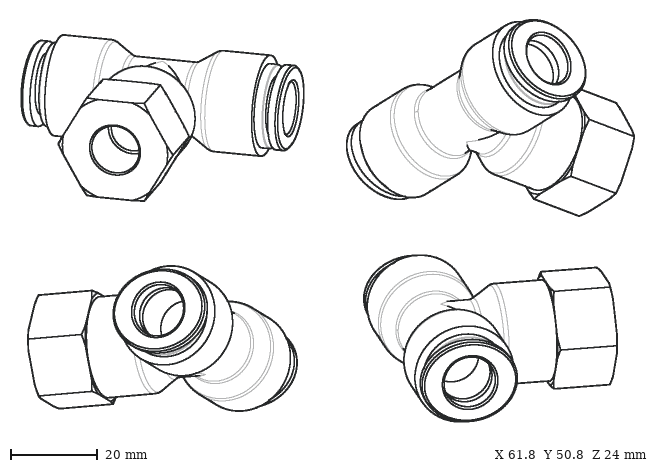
import cadquery as cq
import math

RUN_HALF_LENGTH = 30.9
ARM_LENGTH = 24.9

BARREL_DIAMETER = 23.5
NECK_DIAMETER = 16.95
BARREL_START = 13.0
NECK_END = 7.85
CONE_ROUNDING = 2.0

TUBE_BORE_DIAMETER = 12.2
TEE_BRANCH_BORE_DIAMETER = 10.0
SOCKET_DEPTH = ARM_LENGTH - BARREL_START

RING_DIAMETER = 19.6
RING_WIDTH = 2.05
RING_ROUNDING = 0.2

FLANGE_WIDTH = 22.6
FLANGE_HEIGHT = 19.45
FLANGE_THICKNESS = 2.3
FLANGE_CHAMFER = 0.5
COLLET_NECK_DIAMETER = 14.2
COLLET_MOUTH_CHAMFER = 0.5
COLLET_LENGTH = RUN_HALF_LENGTH - ARM_LENGTH - RING_WIDTH

NUT_ACROSS_FLATS = 24.0
NUT_ACROSS_CORNERS = NUT_ACROSS_FLATS / math.cos(math.pi / 6)
NUT_LENGTH = 14.1
NUT_FACE_DIAMETER = 25.35
NUT_CHAMFER_ANGLE = math.radians(20)
NUT_BORE_DIAMETER = 11.45
NUT_MOUTH_DIAMETER = 12.25

RUN_ANGLES = (0, 180)
BRANCH_ANGLE = 270


def rod(diameter, start, length):
    """Cylinder along +X from the given distance to the centre."""
    return cq.Workplane("YZ").workplane(offset=start).circle(diameter / 2).extrude(length)


def turned(shape, angle):
    """Shape built along +X, swung about Z to the direction of its arm."""
    return shape.rotate((0, 0, 0), (0, 0, 1), angle)


def make_arm():
    """Solid tee arm along +X, starting at the tee centre."""
    arm = (
        cq.Workplane("XY")
        .moveTo(0, 0)
        .lineTo(0, NECK_DIAMETER / 2)
        .lineTo(NECK_END, NECK_DIAMETER / 2)
        .lineTo(BARREL_START, BARREL_DIAMETER / 2)
        .lineTo(ARM_LENGTH, BARREL_DIAMETER / 2)
        .lineTo(ARM_LENGTH, 0)
        .close()
        .revolve(360, (0, 0, 0), (1, 0, 0))
    )
    cone_ends = cq.selectors.BoxSelector(
        (NECK_END / 2, -BARREL_DIAMETER, -BARREL_DIAMETER),
        ((BARREL_START + ARM_LENGTH) / 2, BARREL_DIAMETER, BARREL_DIAMETER),
    )
    return arm.edges("%CIRCLE").edges(cone_ends).fillet(CONE_ROUNDING)


def make_tee():
    """Three equal arms joined at the centre, with a blind socket in each."""
    tee = turned(make_arm(), BRANCH_ANGLE)
    for angle in RUN_ANGLES:
        tee = tee.union(turned(make_arm(), angle))

    socket_start = ARM_LENGTH - SOCKET_DEPTH
    tube_socket = rod(TUBE_BORE_DIAMETER, socket_start, SOCKET_DEPTH)
    for angle in RUN_ANGLES:
        tee = tee.cut(turned(tube_socket, angle))
    branch_socket = rod(TEE_BRANCH_BORE_DIAMETER, socket_start, SOCKET_DEPTH)
    return tee.cut(turned(branch_socket, BRANCH_ANGLE))


def make_retaining_ring():
    """Ring along +X, seated on the end face of a run arm."""
    ring = rod(RING_DIAMETER, ARM_LENGTH, RING_WIDTH)
    ring = ring.faces(">X").edges().fillet(RING_ROUNDING)
    return ring.cut(rod(TUBE_BORE_DIAMETER, ARM_LENGTH, RING_WIDTH))


def make_collet():
    """Oval flange and round neck along +X, bored for the tube."""
    collet_start = ARM_LENGTH + RING_WIDTH
    flange = (
        cq.Workplane("YZ")
        .workplane(offset=RUN_HALF_LENGTH - FLANGE_THICKNESS)
        .ellipse(FLANGE_WIDTH / 2, FLANGE_HEIGHT / 2)
        .extrude(FLANGE_THICKNESS)
        .faces(">X")
        .edges()
        .chamfer(FLANGE_CHAMFER)
    )
    neck = rod(COLLET_NECK_DIAMETER, collet_start, COLLET_LENGTH - FLANGE_THICKNESS)
    bore = rod(TUBE_BORE_DIAMETER, collet_start, COLLET_LENGTH)
    collet = flange.union(neck).cut(bore)
    return collet.faces(">X").edges("%CIRCLE").chamfer(COLLET_MOUTH_CHAMFER)


def make_nut():
    """Hexagonal nut along +X, seated on the end face of the branch arm."""
    prism = (
        cq.Workplane("YZ")
        .workplane(offset=ARM_LENGTH)
        .polygon(6, NUT_ACROSS_CORNERS)
        .extrude(NUT_LENGTH)
    )

    corner_overhang = (NUT_ACROSS_CORNERS - NUT_FACE_DIAMETER) / 2
    corner_drop = corner_overhang * math.tan(NUT_CHAMFER_ANGLE)
    nut_end = ARM_LENGTH + NUT_LENGTH
    trimmed_envelope = (
        cq.Workplane("XY")
        .moveTo(ARM_LENGTH, 0)
        .lineTo(ARM_LENGTH, NUT_FACE_DIAMETER / 2)
        .lineTo(ARM_LENGTH + corner_drop, NUT_ACROSS_CORNERS / 2)
        .lineTo(nut_end - corner_drop, NUT_ACROSS_CORNERS / 2)
        .lineTo(nut_end, NUT_FACE_DIAMETER / 2)
        .lineTo(nut_end, 0)
        .close()
        .revolve(360, (0, 0, 0), (1, 0, 0))
    )
    nut = prism.intersect(trimmed_envelope).cut(rod(NUT_BORE_DIAMETER, ARM_LENGTH, NUT_LENGTH))
    mouth_chamfer = (NUT_MOUTH_DIAMETER - NUT_BORE_DIAMETER) / 2
    bore_rim = cq.selectors.RadiusNthSelector(0)
    return nut.faces(">X").edges("%CIRCLE").edges(bore_rim).chamfer(mouth_chamfer)


tee = make_tee()
nut = turned(make_nut(), BRANCH_ANGLE)
retaining_rings = [turned(make_retaining_ring(), angle) for angle in RUN_ANGLES]
collets = [turned(make_collet(), angle) for angle in RUN_ANGLES]

result = cq.Compound.makeCompound(
    [
        tee.val(),
        nut.val(),
        *[ring.val() for ring in retaining_rings],
        *[collet.val() for collet in collets],
    ]
)